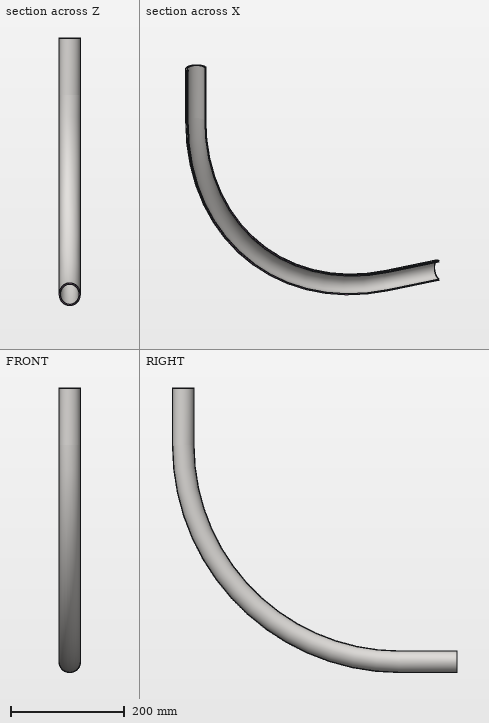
import cadquery as cq
import math

overall_size = 501.5
outer_diameter = 38.0
inner_diameter = 32.0
leg_length = 101.5

bend_radius = overall_size - outer_diameter / 2 - leg_length
leg_reach = bend_radius + leg_length
bend_offset = bend_radius * (1 - math.cos(math.radians(45)))

centreline = (
    cq.Workplane("YZ")
    .moveTo(0, leg_reach)
    .lineTo(0, bend_radius)
    .threePointArc((bend_offset, bend_offset), (bend_radius, 0))
    .lineTo(leg_reach, 0)
)

result = (
    cq.Workplane("XY", origin=(0, 0, leg_reach))
    .circle(outer_diameter / 2)
    .circle(inner_diameter / 2)
    .sweep(centreline)
)